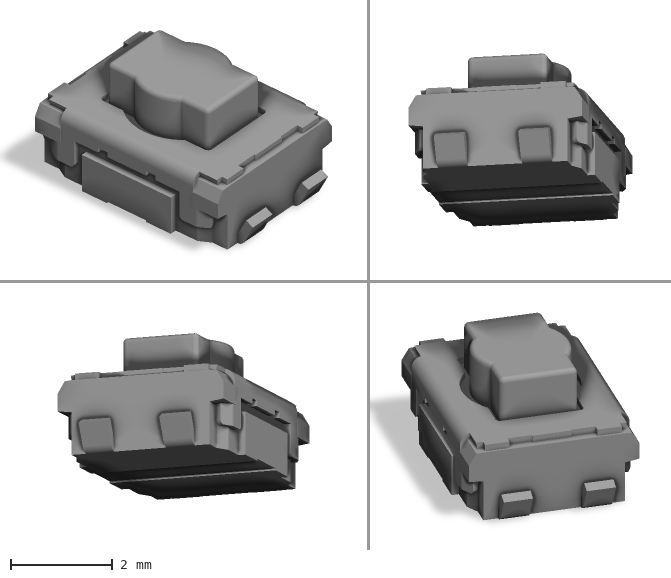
import cadquery as cq
import math


TOTAL_LENGTH = 5.5
TOTAL_HEIGHT = 2.5

HALF_LENGTH = 2.35
HALF_WIDTH = 1.75
CORE_HALF_WIDTH = 1.6
CORE_TOP = 1.5
CORE_ROUND = 0.11
BLOCK_INNER_X = 1.7
BLOCK_TOP = 1.495
BLOCK_TOP_HALF_WIDTH = 1.595
BLOCK_CHAMFER_BOTTOM = 1.25
BLOCK_BOTTOM_OUTER = 0.895
BLOCK_BOTTOM_INNER = 0.86
NOTCH_HALF_WIDTH = 1.45
NOTCH_RAMP_END_X = 1.97
PLATE_HALF_LENGTH = 1.145
PLATE_HEIGHT = 0.87
GROOVE_HALF_LENGTH = 0.5
GROOVE_DEPTH = 0.04

LEAD_INNER_Y = 0.55
LEAD_WIDTH = 0.6
LEAD_THICKNESS = 0.2
LEAD_LEAN = math.radians(27)

SHEET = 0.14
WALL_HALF_WIDTH = CORE_HALF_WIDTH + SHEET
COVER_TOP = CORE_TOP + SHEET
BEND_RADIUS = CORE_ROUND + SHEET
BEND_Y = WALL_HALF_WIDTH - BEND_RADIUS
BEND_Z = COVER_TOP - BEND_RADIUS
LIP_EDGE_Y = 1.545
COVER_HALF_LENGTH = 2.155
CENTRE_TAB_HALF_LENGTH = 2.19
CENTRE_TAB_HALF_WIDTH = 0.4
OUTER_TAB_HALF_LENGTH = 2.3
OUTER_TAB_INNER_Y = 0.9
OUTER_TAB_OUTER_Y = 1.4
WINDOW_HALF_LENGTH = 1.36
WINDOW_TOP = 1.1
SLOT_TOP = 1.21
SLOT_INNER_X = 0.495
SLOT_OUTER_X = 0.74
LEG_BOTTOM = 0.45
LEG_BEND_X = 1.755
LEG_TIP_X = 2.075
LEG_BEND_ANGLE = math.radians(29)
LEG_ROUND = 0.09

BUTTON_HALF_LENGTH = 1.3
BUTTON_HALF_WIDTH = 0.8
BUTTON_DISC_RADIUS = 1.0
OPENING_HALF_LENGTH = 1.4
OPENING_HALF_WIDTH = 0.9
OPENING_DISC_RADIUS = 1.2
EDGE_ROUND = 0.1


def block(x_min, x_max, y_min, y_max, z_min, z_max):
    """Box between the given limits."""
    size = (x_max - x_min, y_max - y_min, z_max - z_min)
    return cq.Workplane().box(*size, centered=False).translate((x_min, y_min, z_min))


def at_four_corners(shape):
    """A shape at +X +Y together with its three mirror copies, as one workplane."""
    both_ends = shape.union(shape.mirror("YZ"))
    return both_ends.union(both_ends.mirror("XZ"))


def rounded_bar_with_disc(half_length, half_width, disc_radius, z_min, z_max):
    """Rectangular prism with rounded corners, merged with a concentric disc."""
    bar = block(-half_length, half_length, -half_width, half_width, z_min, z_max)
    bar = bar.edges("|Z").fillet(EDGE_ROUND)
    disc = cq.Workplane().workplane(offset=z_min).circle(disc_radius).extrude(z_max - z_min)
    return bar.union(disc)



def housing_core():
    core = block(-HALF_LENGTH, HALF_LENGTH, -CORE_HALF_WIDTH, CORE_HALF_WIDTH, 0, CORE_TOP)
    return core.faces(">Z").edges("|X").fillet(CORE_ROUND)


def corner_notch():
    """Space removed from the core below one corner block."""
    outline = [
        (BLOCK_INNER_X, CORE_HALF_WIDTH),
        (NOTCH_RAMP_END_X, NOTCH_HALF_WIDTH),
        (HALF_LENGTH, NOTCH_HALF_WIDTH),
        (HALF_LENGTH, CORE_HALF_WIDTH),
    ]
    return cq.Workplane().polyline(outline).close().extrude(BLOCK_BOTTOM_OUTER)


def corner_block():
    """Chamfered block with a sloping underside, outlined in Y and Z."""
    outline = [
        (NOTCH_HALF_WIDTH, BLOCK_BOTTOM_INNER),
        (HALF_WIDTH, BLOCK_BOTTOM_OUTER),
        (HALF_WIDTH, BLOCK_CHAMFER_BOTTOM),
        (BLOCK_TOP_HALF_WIDTH, BLOCK_TOP),
        (NOTCH_HALF_WIDTH, BLOCK_TOP),
    ]
    profile = cq.Workplane("YZ", origin=(BLOCK_INNER_X, 0, 0)).polyline(outline).close()
    return profile.extrude(HALF_LENGTH - BLOCK_INNER_X)


def lead():
    """Bent lead at +X +Y; its bend is centred on its sharp inner corner."""
    along = (math.sin(LEAD_LEAN), math.cos(LEAD_LEAN))
    outward = (math.cos(LEAD_LEAN), -math.sin(LEAD_LEAN))
    inner_corner = (HALF_LENGTH, LEAD_THICKNESS)

    def from_corner(up, out):
        return (
            inner_corner[0] + up * along[0] + out * outward[0],
            inner_corner[1] + up * along[1] + out * outward[1],
        )

    bend_end_x = from_corner(0, LEAD_THICKNESS)[0]
    leg_length = (TOTAL_LENGTH / 2 - bend_end_x) / along[0]
    half_turn = (math.pi / 2 - LEAD_LEAN) / 2
    bend_middle = (
        inner_corner[0] + LEAD_THICKNESS * math.sin(half_turn),
        inner_corner[1] - LEAD_THICKNESS * math.cos(half_turn),
    )
    profile = (
        cq.Workplane("XZ", origin=(0, LEAD_INNER_Y, 0))
        .moveTo(*inner_corner)
        .lineTo(HALF_LENGTH, 0)
        .threePointArc(bend_middle, from_corner(0, LEAD_THICKNESS))
        .lineTo(*from_corner(leg_length, LEAD_THICKNESS))
        .lineTo(*from_corner(leg_length, 0))
        .close()
    )
    return profile.extrude(-LEAD_WIDTH)


def make_housing():
    side_plates = block(
        -PLATE_HALF_LENGTH, PLATE_HALF_LENGTH, -HALF_WIDTH, HALF_WIDTH, 0, PLATE_HEIGHT
    )
    bottom_groove = block(
        -GROOVE_HALF_LENGTH, GROOVE_HALF_LENGTH, -HALF_WIDTH, HALF_WIDTH, 0, GROOVE_DEPTH
    )
    return (
        housing_core()
        .cut(at_four_corners(corner_notch()))
        .union(at_four_corners(corner_block()))
        .union(side_plates)
        .union(at_four_corners(lead()))
        .cut(bottom_groove)
    )



def cover_top():
    """Flat top with tabs along both ends."""
    def strip(half_length, y_min, y_max):
        return block(-half_length, half_length, y_min, y_max, CORE_TOP, COVER_TOP)

    top = strip(COVER_HALF_LENGTH, -BEND_Y, BEND_Y)
    top = top.union(strip(CENTRE_TAB_HALF_LENGTH, -CENTRE_TAB_HALF_WIDTH, CENTRE_TAB_HALF_WIDTH))
    outer_tabs = strip(OUTER_TAB_HALF_LENGTH, OUTER_TAB_INNER_Y, OUTER_TAB_OUTER_Y)
    return top.union(outer_tabs).union(outer_tabs.mirror("XZ"))


def cover_bend(half_length, angle):
    """Bend along +Y that turns down from the flat top through the given angle."""
    def at(radius, turn):
        return (BEND_Y + radius * math.sin(turn), BEND_Z + radius * math.cos(turn))

    profile = (
        cq.Workplane("YZ")
        .moveTo(*at(CORE_ROUND, 0))
        .lineTo(*at(BEND_RADIUS, 0))
        .threePointArc(at(BEND_RADIUS, angle / 2), at(BEND_RADIUS, angle))
        .lineTo(*at(CORE_ROUND, angle))
        .threePointArc(at(CORE_ROUND, angle / 2), at(CORE_ROUND, 0))
        .close()
    )
    return profile.extrude(half_length, both=True)


def cover_apron():
    """Upright sheet along +Y with a window and two small slots above it."""
    def panel(x_min, x_max, z_min, z_max):
        return block(x_min, x_max, CORE_HALF_WIDTH, WALL_HALF_WIDTH, z_min, z_max)

    apron = panel(-BLOCK_INNER_X, BLOCK_INNER_X, BLOCK_BOTTOM_OUTER, BEND_Z)
    window = panel(-WINDOW_HALF_LENGTH, WINDOW_HALF_LENGTH, BLOCK_BOTTOM_OUTER, WINDOW_TOP)
    slot = panel(SLOT_INNER_X, SLOT_OUTER_X, WINDOW_TOP, SLOT_TOP)
    return apron.cut(window).cut(slot).cut(slot.mirror("YZ"))


def cover_leg():
    """Leg at +X +Y whose end turns inward around the housing corner."""
    def around_bend(turn):
        return (
            LEG_BEND_X + SHEET * math.sin(turn),
            CORE_HALF_WIDTH + SHEET * math.cos(turn),
        )

    bend_end = around_bend(LEG_BEND_ANGLE)
    tip_outer = (
        LEG_TIP_X,
        bend_end[1] - (LEG_TIP_X - bend_end[0]) * math.tan(LEG_BEND_ANGLE),
    )
    tip_inner = (
        tip_outer[0] - SHEET * math.sin(LEG_BEND_ANGLE),
        tip_outer[1] - SHEET * math.cos(LEG_BEND_ANGLE),
    )
    leg = (
        cq.Workplane(origin=(0, 0, LEG_BOTTOM))
        .moveTo(WINDOW_HALF_LENGTH, CORE_HALF_WIDTH)
        .lineTo(WINDOW_HALF_LENGTH, WALL_HALF_WIDTH)
        .lineTo(LEG_BEND_X, WALL_HALF_WIDTH)
        .threePointArc(around_bend(LEG_BEND_ANGLE / 2), bend_end)
        .lineTo(*tip_outer)
        .lineTo(*tip_inner)
        .lineTo(LEG_BEND_X, CORE_HALF_WIDTH)
        .close()
        .extrude(BLOCK_BOTTOM_OUTER - LEG_BOTTOM)
    )
    return leg.faces("<Z").edges("<X or >X").fillet(LEG_ROUND)


def make_cover(housing):
    lip_angle = math.asin((LIP_EDGE_Y - BEND_Y) / BEND_RADIUS)
    wall = (
        cover_bend(COVER_HALF_LENGTH, lip_angle)
        .union(cover_bend(BLOCK_INNER_X, math.pi / 2))
        .union(cover_apron())
    )
    opening = rounded_bar_with_disc(
        OPENING_HALF_LENGTH, OPENING_HALF_WIDTH, OPENING_DISC_RADIUS, CORE_TOP, COVER_TOP
    )
    cover = cover_top().union(wall).union(wall.mirror("XZ")).union(at_four_corners(cover_leg()))
    return cover.cut(opening).cut(housing)



def make_button():
    """Push button standing on the housing inside the cover opening."""
    button = rounded_bar_with_disc(
        BUTTON_HALF_LENGTH, BUTTON_HALF_WIDTH, BUTTON_DISC_RADIUS, CORE_TOP, TOTAL_HEIGHT
    )
    return button.faces(">Z").edges().fillet(EDGE_ROUND)


housing = make_housing()
cover = make_cover(housing)
button = make_button()

result = cq.Compound.makeCompound([*housing.solids().vals(), *cover.solids().vals(), *button.solids().vals()])